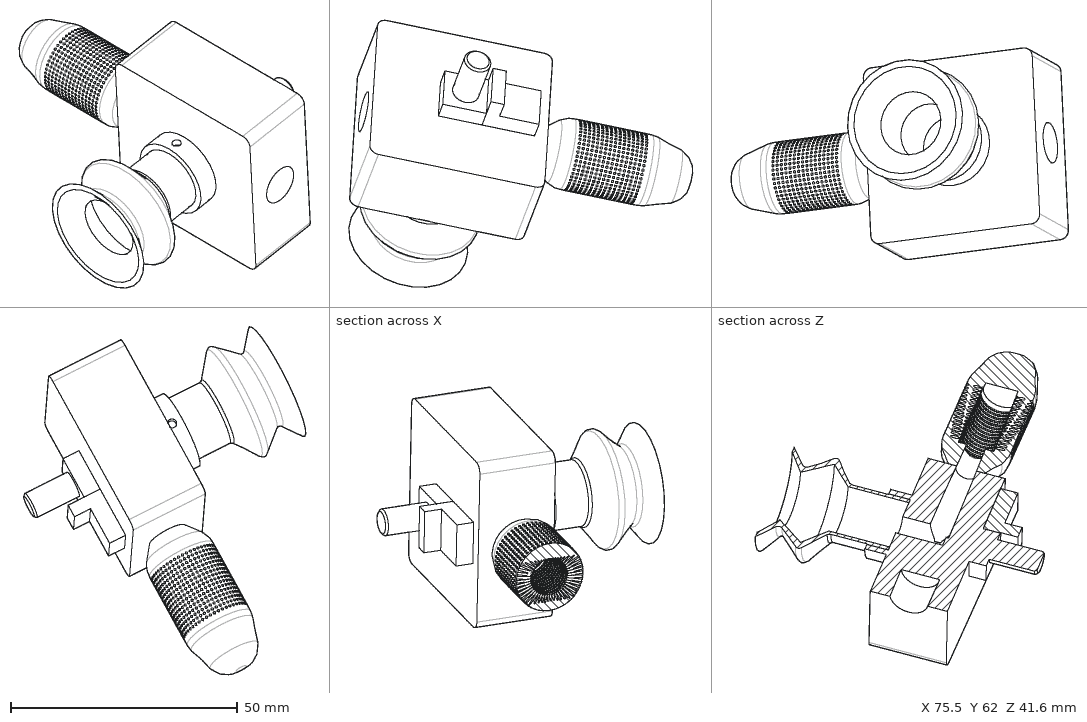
import cadquery as cq
import math

OVERALL_LENGTH = 75.5
TILT_ANGLE = 2.8
TILT_COSINE = math.cos(math.radians(TILT_ANGLE))
TILT_SINE = math.sin(math.radians(TILT_ANGLE))

BLOCK_SIDE = 39.9
BLOCK_DEPTH = 18.0
BLOCK_CORNER_RADIUS = 2.0
BLOCK_FRONT = -BLOCK_DEPTH / 2
BLOCK_BACK = BLOCK_DEPTH / 2
BLOCK_LEFT = -BLOCK_SIDE / 2
BLOCK_RIGHT = BLOCK_SIDE / 2

COLLAR_DIAMETER = 18.0
COLLAR_LENGTH = 5.0
SCREW_HOLE_DIAMETER = 2.0

SUCTION_HOLE_DIAMETER = 4.75
SUCTION_HOLE_DEPTH = 10.95
AIR_CHANNEL_DIAMETER = 5.0
PORT_DIAMETER = 9.0
PORT_DEPTH = 8.0

BOSS_SIDE = 9.95
BOSS_HEIGHT = 4.0
BOSS_BACK = BLOCK_BACK + BOSS_HEIGHT
PIN_DIAMETER = 6.0
PIN_LENGTH = 11.0
PIN_CHAMFER = 0.5

BRACKET_LENGTH = 12.0
TAB_THICKNESS = 3.0
TAB_HEIGHT = 8.0

CUP_LENGTH = 29.0
NECK_DIAMETER = 15.0
NECK_BORE_DIAMETER = 13.2
RIM_RADIUS = 13.6
RIM_WIDTH = 1.5
FOLD_RADIUS = 13.6
FOLD_ROUND_DEPTH = 0.4
WAIST_RADIUS = 18.0 / 2
WAIST_ROUND_DEPTH = 0.3
THROAT_RADIUS = 7.1
THROAT_POSITION = 25.35
NECK_END = 13.35
NECK_ROUND_LENGTH = 0.75
NECK_ROUND_DEPTH = 0.3
FOLD_POSITION = 19.0
WAIST_POSITION = 24.8
ROUND_HALF_LENGTH = 0.72
INNER_FOLD_RADIUS = 11.7

SILENCER_RADIUS = 8.0
SILENCER_BASE_RADIUS = 9.0 / 2
SILENCER_ROUNDING = 5.0
TIP_FLAT_RADIUS = 2.5 / 2
NOSE_LENGTH = 3.4
NOSE_RADIUS = 6.0
TAPER_END = 25.65
TAPER_END_RADIUS = 7.8
BARREL_FRONT = 24.2
BARREL_BACK = 6.5
SHOULDER_POSITION = 3.5
SHOULDER_RADIUS = 7.1
CHAMBER_DIAMETER = 8.6

BLOCK_REACH = (BLOCK_SIDE / 2 - BLOCK_CORNER_RADIUS) * (TILT_COSINE + TILT_SINE) + BLOCK_CORNER_RADIUS
TIP_REACH = (OVERALL_LENGTH - BLOCK_REACH - TIP_FLAT_RADIUS * TILT_SINE) / TILT_COSINE
SILENCER_LENGTH = TIP_REACH - BLOCK_SIDE / 2

PERFORATION_DIAMETER = 0.5
PERFORATION_RINGS = 16
PERFORATION_SPAN = 15.0
PERFORATION_PITCH = PERFORATION_SPAN / (PERFORATION_RINGS - 1)
HOLES_PER_RING = 50
PERFORATION_CENTRE = 15.1
PERFORATION_OVERRUN = 0.2


def tilted(body):
    """Turn a body about the cup axis so that its right side rises."""
    return body.rotate((0, 0, 0), (0, 1, 0), -TILT_ANGLE)


def cylinder(diameter, length, start, direction):
    axis = cq.Vector(*direction)
    return cq.Workplane(cq.Solid.makeCylinder(diameter / 2, length, cq.Vector(*start), axis))


def box_between(x_range, y_range, height):
    """Box over the given X and Y ranges, centred on Z = 0."""
    x_size = x_range[1] - x_range[0]
    y_size = y_range[1] - y_range[0]
    box = cq.Workplane().box(x_size, y_size, height, centered=(False, False, True))
    return box.translate((x_range[0], y_range[0], 0))


def make_housing():
    block = cq.Workplane().box(BLOCK_SIDE, BLOCK_DEPTH, BLOCK_SIDE)
    block = block.edges("|Y").fillet(BLOCK_CORNER_RADIUS)

    collar = cylinder(COLLAR_DIAMETER, COLLAR_LENGTH, (0, BLOCK_FRONT, 0), (0, -1, 0))
    collar = collar.cut(cylinder(NECK_DIAMETER, COLLAR_LENGTH, (0, BLOCK_FRONT, 0), (0, -1, 0)))
    screw_start = (0, BLOCK_FRONT - COLLAR_LENGTH / 2, 0)
    collar = collar.cut(cylinder(SCREW_HOLE_DIAMETER, COLLAR_DIAMETER, screw_start, (0, 0, 1)))

    boss = box_between((-BOSS_SIDE / 2, BOSS_SIDE / 2), (BLOCK_BACK, BOSS_BACK), BOSS_SIDE)
    pin_start = (0, BOSS_BACK, 0)
    pin = cylinder(PIN_DIAMETER, PIN_LENGTH, pin_start, (0, 1, 0)).faces(">Y").chamfer(PIN_CHAMFER)
    housing = block.union(collar).union(boss).union(pin)

    suction_hole = cylinder(SUCTION_HOLE_DIAMETER, SUCTION_HOLE_DEPTH, (0, BLOCK_FRONT, 0), (0, 1, 0))
    air_channel = cylinder(AIR_CHANNEL_DIAMETER, BLOCK_SIDE / 2, (0, 0, 0), (-1, 0, 0))
    port = cylinder(PORT_DIAMETER, PORT_DEPTH, (BLOCK_RIGHT, 0, 0), (-1, 0, 0))
    return housing.cut(suction_hole).cut(air_channel).cut(port)


def make_bracket():
    right = -BOSS_SIDE / 2
    plate = box_between((right - BRACKET_LENGTH, right), (BLOCK_BACK, BOSS_BACK), BOSS_SIDE)
    tab = box_between((right - TAB_THICKNESS, right), (BLOCK_BACK, BLOCK_BACK + TAB_HEIGHT), BOSS_SIDE)
    return plate.union(tab)


def make_cup():
    """Thin-walled bellows, revolved about Y; its neck starts at the block's front face."""
    def point(radius, distance):
        return (radius, BLOCK_FRONT - distance)

    neck_radius = NECK_DIAMETER / 2
    bore_radius = NECK_BORE_DIAMETER / 2
    fold_edge = FOLD_RADIUS - FOLD_ROUND_DEPTH
    waist_edge = WAIST_RADIUS + WAIST_ROUND_DEPTH
    profile = (
        cq.Workplane()
        .moveTo(*point(bore_radius, 0))
        .lineTo(*point(neck_radius, 0))
        .lineTo(*point(neck_radius, NECK_END))
        .lineTo(*point(neck_radius + NECK_ROUND_DEPTH, NECK_END + NECK_ROUND_LENGTH))
        .lineTo(*point(fold_edge, FOLD_POSITION - ROUND_HALF_LENGTH))
        .threePointArc(
            point(FOLD_RADIUS, FOLD_POSITION),
            point(fold_edge, FOLD_POSITION + ROUND_HALF_LENGTH),
        )
        .lineTo(*point(waist_edge, WAIST_POSITION - ROUND_HALF_LENGTH))
        .threePointArc(
            point(WAIST_RADIUS, WAIST_POSITION),
            point(waist_edge, WAIST_POSITION + ROUND_HALF_LENGTH),
        )
        .lineTo(*point(RIM_RADIUS, CUP_LENGTH))
        .lineTo(*point(RIM_RADIUS - RIM_WIDTH, CUP_LENGTH))
        .lineTo(*point(THROAT_RADIUS, THROAT_POSITION))
        .lineTo(*point(INNER_FOLD_RADIUS, FOLD_POSITION))
        .lineTo(*point(bore_radius, NECK_END + NECK_ROUND_LENGTH))
        .close()
    )
    return profile.revolve(360, (0, 0, 0), (0, 1, 0))


def make_silencer():
    """Hollow bullet revolved about X, pierced by rings of radial holes."""
    def point(radius, distance):
        return (BLOCK_LEFT - distance, radius)

    profile = (
        cq.Workplane()
        .moveTo(*point(0, 0))
        .lineTo(*point(SILENCER_BASE_RADIUS, 0))
        .lineTo(*point(SHOULDER_RADIUS, SHOULDER_POSITION))
        .radiusArc(point(SILENCER_RADIUS, BARREL_BACK), -SILENCER_ROUNDING)
        .lineTo(*point(SILENCER_RADIUS, BARREL_FRONT))
        .radiusArc(point(TAPER_END_RADIUS, TAPER_END), -SILENCER_ROUNDING)
        .lineTo(*point(NOSE_RADIUS, SILENCER_LENGTH - NOSE_LENGTH))
        .radiusArc(point(TIP_FLAT_RADIUS, SILENCER_LENGTH), -SILENCER_ROUNDING)
        .lineTo(*point(0, SILENCER_LENGTH))
        .close()
    )
    silencer = profile.revolve(360, (0, 0, 0), (1, 0, 0))

    chamber_start = (BLOCK_LEFT - BARREL_BACK, 0, 0)
    chamber = cylinder(CHAMBER_DIAMETER, BARREL_FRONT - BARREL_BACK, chamber_start, (-1, 0, 0))
    passage = cylinder(AIR_CHANNEL_DIAMETER, BARREL_FRONT, (BLOCK_LEFT, 0, 0), (-1, 0, 0))
    silencer = silencer.cut(chamber).cut(passage)

    inner_end = CHAMBER_DIAMETER / 2 - PERFORATION_OVERRUN
    drill_length = SILENCER_RADIUS + PERFORATION_OVERRUN - inner_end
    drills = []
    for ring in range(PERFORATION_RINGS):
        ring_offset = ring * PERFORATION_PITCH - PERFORATION_SPAN / 2
        ring_x = BLOCK_LEFT - PERFORATION_CENTRE + ring_offset
        for hole in range(HOLES_PER_RING):
            angle = math.tau * hole / HOLES_PER_RING
            direction = (0, math.cos(angle), math.sin(angle))
            start = (ring_x, inner_end * direction[1], inner_end * direction[2])
            drills.append(cylinder(PERFORATION_DIAMETER, drill_length, start, direction).val())
    return cq.Workplane(silencer.val().cut(*drills))


housing = tilted(make_housing())
bracket = tilted(make_bracket())
cup = tilted(make_cup())
silencer = tilted(make_silencer())

result = cq.Compound.makeCompound([housing.val(), bracket.val(), cup.val(), silencer.val()])